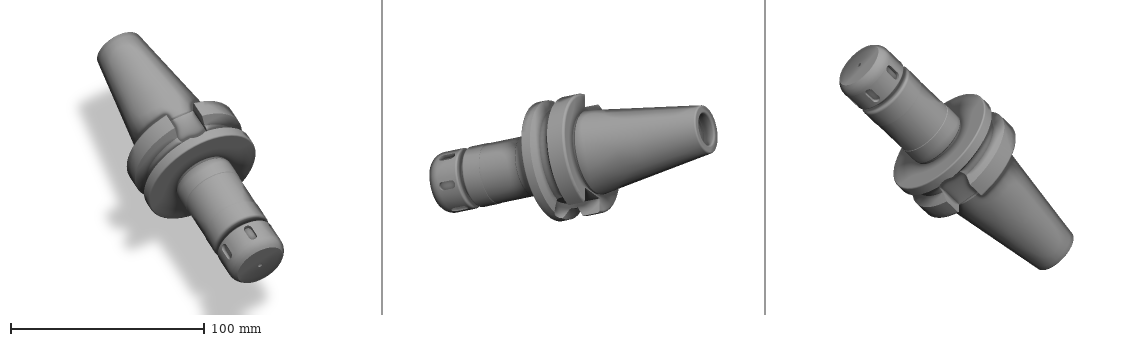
import cadquery as cq
import math

SHANK_END_FILLET = 1.0
TAPER_RATIO = 7 / 24
GAUGE_X = 65.5
GAUGE_RADIUS = 22.2
RELIEF_DEPTH = 0.5
RELIEF_START_X = 66.2

FLANGE_START_X = 67.0
FLANGE_LENGTH = 25.3
FLANGE_DIAMETER = 63.0
FLANGE_RADIUS = FLANGE_DIAMETER / 2
FLANGE_REAR_FILLET = 1.4
FLANGE_FRONT_FILLET = 0.8
GROOVE_FLOOR_START_X = 79.7
GROOVE_FLOOR_END_X = 83.9
GROOVE_RADIUS = 26.4
GROOVE_WALL_ANGLE = 30

DRIVE_SLOT_COUNT = 2
DRIVE_SLOT_WIDTH = 16.0
DRIVE_SLOT_END_X = 88.1
DRIVE_SLOT_FLOOR = 22.5

BODY_RADIUS = 16.0
WAIST_DEPTH = 0.23
WAIST_RADIUS = BODY_RADIUS - WAIST_DEPTH
BODY_COLLAR_START_X = 93.4
BODY_COLLAR_CHAMFER = 0.6
WAIST_START_X = 103.7
WAIST_STEP_LENGTH = 0.3
WAIST_END_X = 125.0
BODY_END_X = 135.4
BODY_END_FILLET = 1.2
NECK_RADIUS = 11.0

NUT_START_X = 138.2
NUT_REAR_FILLET = 1.0
NUT_ROUND_START_X = 149.8
NUT_ROUND_RADIUS = 7.0
NUT_ROUND_END_X = 155.0
OVERALL_LENGTH = 155.4

WRENCH_SLOT_COUNT = 6
WRENCH_SLOT_CENTER_X = 144.7
WRENCH_SLOT_LENGTH = 9.3
WRENCH_SLOT_WIDTH = 4.4
WRENCH_SLOT_DEPTH = 2.3

MOUTH_RADIUS = 9.5
PILOT_DIAMETER = 17.0
PILOT_RADIUS = PILOT_DIAMETER / 2
PILOT_END_X = 6.0
THREAD_MAJOR_DIAMETER = 16.0
THREAD_MAJOR_RADIUS = THREAD_MAJOR_DIAMETER / 2
THREAD_RADIUS = 7.0
THREAD_RECESS_LENGTH = 1.1
THREAD_LEAD_LENGTH = 1.0
THREAD_END_X = 31.1
TIP_FLAT_DIAMETER = 6.0
TIP_FLAT_RADIUS = TIP_FLAT_DIAMETER / 2
DRILL_TIP_ANGLE = 60
COOLANT_RADIUS = 1.2

SELECTION_MARGIN = 0.02


def round_rim(part, rim_x, rim_radius, fillet_radius):
    """Fillet the circular edge of the given radius that lies in the plane X = rim_x."""
    reach = rim_radius + SELECTION_MARGIN
    corner_low = (rim_x - SELECTION_MARGIN, -reach, -reach)
    corner_high = (rim_x + SELECTION_MARGIN, reach, reach)
    rim = (
        part.edges(cq.selectors.BoxSelector(corner_low, corner_high, boundingbox=True))
        .edges(cq.selectors.RadiusNthSelector(-1))
    )
    return rim.fillet(fillet_radius)


def make_body():
    """Revolve the solid outline of shank, flange, body and nut about X."""
    shank_end_radius = GAUGE_RADIUS - GAUGE_X * TAPER_RATIO / 2
    relief_radius = GAUGE_RADIUS - RELIEF_DEPTH
    flange_end_x = FLANGE_START_X + FLANGE_LENGTH
    wall_run = (FLANGE_RADIUS - GROOVE_RADIUS) * math.tan(math.radians(GROOVE_WALL_ANGLE))

    round_center_radius = BODY_RADIUS - NUT_ROUND_RADIUS
    round_sweep = math.asin((NUT_ROUND_END_X - NUT_ROUND_START_X) / NUT_ROUND_RADIUS)

    def round_point(angle):
        return (
            NUT_ROUND_START_X + NUT_ROUND_RADIUS * math.sin(angle),
            round_center_radius + NUT_ROUND_RADIUS * math.cos(angle),
        )

    round_end_radius = round_point(round_sweep)[1]
    face_radius = round_end_radius - (OVERALL_LENGTH - NUT_ROUND_END_X)

    outline = (
        cq.Workplane("XY")
        .moveTo(0, 0)
        .lineTo(0, shank_end_radius)
        .lineTo(GAUGE_X, GAUGE_RADIUS)
        .lineTo(RELIEF_START_X, relief_radius)
        .lineTo(FLANGE_START_X, relief_radius)
        .lineTo(FLANGE_START_X, FLANGE_RADIUS)
        .lineTo(GROOVE_FLOOR_START_X - wall_run, FLANGE_RADIUS)
        .lineTo(GROOVE_FLOOR_START_X, GROOVE_RADIUS)
        .lineTo(GROOVE_FLOOR_END_X, GROOVE_RADIUS)
        .lineTo(GROOVE_FLOOR_END_X + wall_run, FLANGE_RADIUS)
        .lineTo(flange_end_x, FLANGE_RADIUS)
        .lineTo(flange_end_x, BODY_RADIUS - BODY_COLLAR_CHAMFER)
        .lineTo(BODY_COLLAR_START_X, BODY_RADIUS - BODY_COLLAR_CHAMFER)
        .lineTo(BODY_COLLAR_START_X + BODY_COLLAR_CHAMFER, BODY_RADIUS)
        .lineTo(WAIST_START_X, BODY_RADIUS)
        .lineTo(WAIST_START_X + WAIST_STEP_LENGTH, WAIST_RADIUS)
        .lineTo(WAIST_END_X, WAIST_RADIUS)
        .lineTo(WAIST_END_X, BODY_RADIUS)
        .lineTo(BODY_END_X, BODY_RADIUS)
        .lineTo(BODY_END_X, NECK_RADIUS)
        .lineTo(NUT_START_X, NECK_RADIUS)
        .lineTo(NUT_START_X, BODY_RADIUS)
        .lineTo(NUT_ROUND_START_X, BODY_RADIUS)
        .threePointArc(round_point(round_sweep / 2), round_point(round_sweep))
        .lineTo(OVERALL_LENGTH, face_radius)
        .lineTo(OVERALL_LENGTH, 0)
        .close()
    )
    body = outline.revolve(360, (0, 0, 0), (1, 0, 0))
    rim_fillets = (
        (0, shank_end_radius, SHANK_END_FILLET),
        (FLANGE_START_X, FLANGE_RADIUS, FLANGE_REAR_FILLET),
        (flange_end_x, FLANGE_RADIUS, FLANGE_FRONT_FILLET),
        (BODY_END_X, BODY_RADIUS, BODY_END_FILLET),
        (NUT_START_X, BODY_RADIUS, NUT_REAR_FILLET),
    )
    for rim_x, rim_radius, fillet_radius in rim_fillets:
        body = round_rim(body, rim_x, rim_radius, fillet_radius)
    return body


def make_bore():
    """Stepped drawbar bore with a conical bottom and a coolant hole right through."""
    mouth_round = MOUTH_RADIUS - PILOT_RADIUS
    arc_inset = mouth_round * (1 - math.sqrt(0.5))
    recess_end_x = PILOT_END_X + THREAD_RECESS_LENGTH
    tip_length = (THREAD_RADIUS - TIP_FLAT_RADIUS) / math.tan(math.radians(DRILL_TIP_ANGLE))
    tip_end_x = THREAD_END_X + tip_length
    return (
        cq.Workplane("XY")
        .moveTo(0, 0)
        .lineTo(0, MOUTH_RADIUS)
        .threePointArc((arc_inset, PILOT_RADIUS + arc_inset), (mouth_round, PILOT_RADIUS))
        .lineTo(PILOT_END_X, PILOT_RADIUS)
        .lineTo(PILOT_END_X, THREAD_MAJOR_RADIUS)
        .lineTo(recess_end_x, THREAD_MAJOR_RADIUS)
        .lineTo(recess_end_x + THREAD_LEAD_LENGTH, THREAD_RADIUS)
        .lineTo(THREAD_END_X, THREAD_RADIUS)
        .lineTo(tip_end_x, TIP_FLAT_RADIUS)
        .lineTo(tip_end_x, COOLANT_RADIUS)
        .lineTo(OVERALL_LENGTH, COOLANT_RADIUS)
        .lineTo(OVERALL_LENGTH, 0)
        .close()
        .revolve(360, (0, 0, 0), (1, 0, 0))
    )


def make_drive_slot():
    """Round-ended cutter on the +Z side, open toward the shank."""
    half_width = DRIVE_SLOT_WIDTH / 2
    arc_center_x = DRIVE_SLOT_END_X - half_width
    return (
        cq.Workplane("XY")
        .workplane(offset=DRIVE_SLOT_FLOOR)
        .moveTo(GAUGE_X, -half_width)
        .lineTo(arc_center_x, -half_width)
        .threePointArc((DRIVE_SLOT_END_X, 0), (arc_center_x, half_width))
        .lineTo(GAUGE_X, half_width)
        .close()
        .extrude(FLANGE_RADIUS - DRIVE_SLOT_FLOOR)
    )


def make_wrench_slot():
    """Flat-bottomed oblong cutter on the +Z side of the nut."""
    return (
        cq.Workplane("XY")
        .workplane(offset=BODY_RADIUS - WRENCH_SLOT_DEPTH)
        .center(WRENCH_SLOT_CENTER_X, 0)
        .slot2D(WRENCH_SLOT_LENGTH, WRENCH_SLOT_WIDTH)
        .extrude(WRENCH_SLOT_DEPTH)
    )


def cut_around_axis(part, cutter, count):
    """Cut equally spaced copies of the cutter around the X axis."""
    for index in range(count):
        part = part.cut(cutter.rotate((0, 0, 0), (1, 0, 0), index * 360 / count))
    return part


result = make_body().cut(make_bore())
result = cut_around_axis(result, make_drive_slot(), DRIVE_SLOT_COUNT)
result = cut_around_axis(result, make_wrench_slot(), WRENCH_SLOT_COUNT)